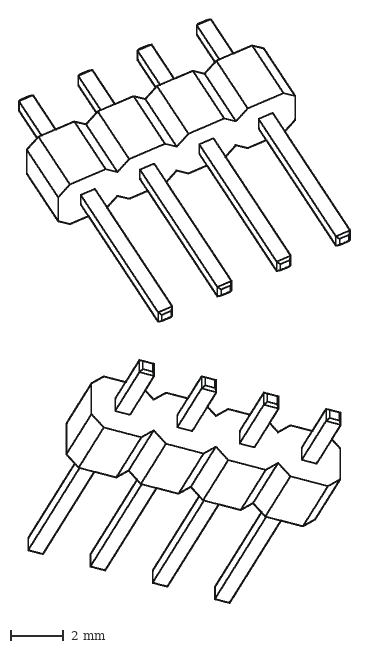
import cadquery as cq

pin_count = 4
pitch = 2.54
body_length = 2.54
body_height = 2.54
corner_cut = 0.5
pin_length = 11.44
pin_width = 0.61
tip_bevel = 0.1
body_start = 2.55

row_width = pin_count * pitch
pin_positions = [(i + 0.5) * pitch - row_width / 2 for i in range(pin_count)]


def body_segment(y):
    """Octagonal housing block around one pin."""
    block = cq.Workplane("XY").box(body_length, pitch, body_height)
    block = block.edges("|X").chamfer(corner_cut)
    return block.translate((body_start + body_length / 2, y, 0))


def pin(y):
    """Square pin with bevelled ends."""
    bar = cq.Workplane("XY").box(pin_length, pin_width, pin_width)
    bar = bar.faces("<X or >X").chamfer(tip_bevel)
    return bar.translate((pin_length / 2, y, 0))


result = cq.Workplane("XY")
for position in pin_positions:
    result = result.union(body_segment(position)).union(pin(position))